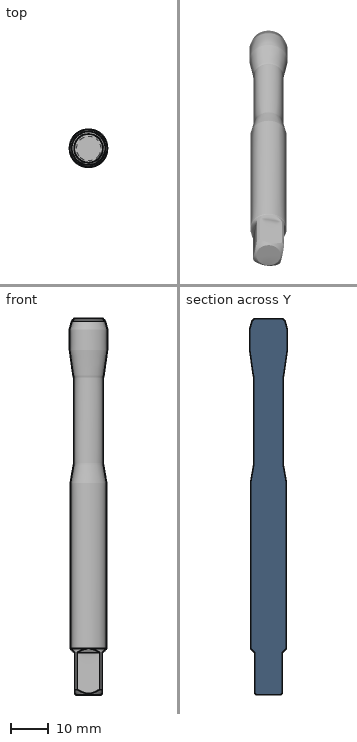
import cadquery as cq

total_length = 100.2
shank_start = 12.5
shank_end = 56.4
neck_start = 61.7
neck_end = 84.45
head_start = 91.85
head_end = 97.3

head_diameter = 10.14
shank_diameter = 9.68
neck_diameter = 7.88
shank_taper_root_diameter = 7.94
head_taper_root_diameter = 8.2
tip_diameter = 8.9
tip_face_diameter = 7.6

tip_chamfer_height = 0.7
lower_blend_length = 0.3
upper_blend_length = 0.5
shoulder_height = 0.2

square_width = 7.4
square_corner_diameter = 9.45
square_end_diameter = 6.5
flat_length = 11.3
flat_count = 4
end_chamfer = (square_corner_diameter - square_end_diameter) / 2


def make_turned_body():
    """Revolve the turned profile about the Z axis."""
    stations = [
        (square_end_diameter, 0),
        (square_corner_diameter, end_chamfer),
        (square_corner_diameter, shank_start - shoulder_height),
        (shank_diameter, shank_start),
        (shank_diameter, shank_end),
        (shank_taper_root_diameter, neck_start - lower_blend_length),
        (neck_diameter, neck_start),
        (neck_diameter, neck_end),
        (head_taper_root_diameter, neck_end + upper_blend_length),
        (head_diameter, head_start),
        (head_diameter, head_end),
        (tip_diameter, total_length - tip_chamfer_height),
        (tip_face_diameter, total_length),
    ]
    outline = [(diameter / 2, height) for diameter, height in stations]
    profile = cq.Workplane("XZ").polyline([(0, 0)] + outline + [(0, total_length)]).close()
    return profile.revolve(360, (0, 0, 0), (0, 1, 0))


def make_flat_cutter():
    """Prism that cuts one flat on the +X side, with a 45 degree run-out ramp."""
    flat_offset = square_width / 2
    cutter_reach = shank_diameter
    ramp_height = cutter_reach - flat_offset
    outline = [
        (flat_offset, 0),
        (cutter_reach, 0),
        (cutter_reach, flat_length + ramp_height),
        (flat_offset, flat_length),
    ]
    profile = cq.Workplane("XZ").polyline(outline).close()
    return profile.extrude(shank_diameter / 2, both=True)


def cut_square_drive(body):
    """Cut the evenly spaced flats around the lower end."""
    cutter = make_flat_cutter()
    for index in range(flat_count):
        angle = index * 360 / flat_count
        body = body.cut(cutter.rotate((0, 0, 0), (0, 0, 1), angle))
    return body


result = cut_square_drive(make_turned_body())